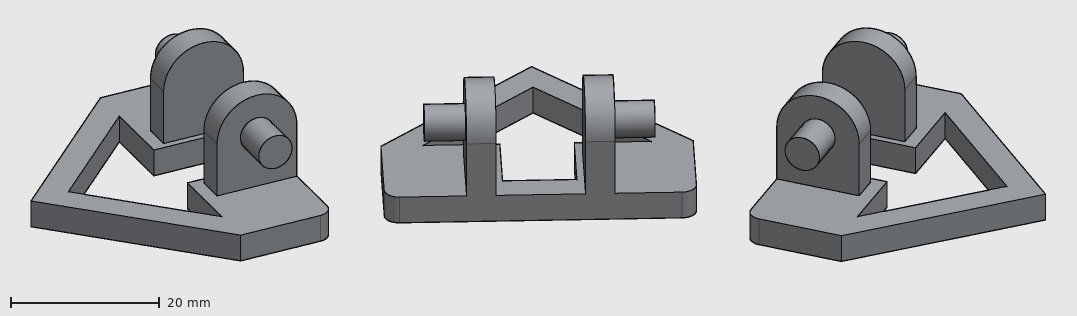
import cadquery as cq
import math

width = 42.0
thickness = 4.0
side_length = 14.0
corner_radius = 2.0
half_width = width / 2
tip_y = -half_width

slot_width = 10.0
window_half_width = half_width - thickness * math.sqrt(2)
slot_end_y = side_length - thickness

lug_gap = 12.0
lug_width = 12.0
lug_radius = lug_width / 2
axis_y = side_length - lug_radius
axis_z = 12.0
pin_diameter = 5.0
pin_length = 5.5


def make_plate():
    plate = (
        cq.Workplane("XY")
        .moveTo(0, tip_y)
        .lineTo(half_width, 0)
        .lineTo(half_width, side_length)
        .lineTo(-half_width, side_length)
        .lineTo(-half_width, 0)
        .close()
        .extrude(thickness)
    )
    return plate.edges("|Z and >Y").fillet(corner_radius)


def make_window():
    head = (
        cq.Workplane("XY")
        .moveTo(-window_half_width, 0)
        .lineTo(0, -window_half_width)
        .lineTo(window_half_width, 0)
        .close()
        .extrude(thickness)
    )
    slot = cq.Workplane("XY").box(
        slot_width, slot_end_y, thickness, centered=(True, False, False)
    )
    return head.union(slot)


def make_lug_with_pin():
    """Right-hand lug, standing on the plate, with its pin pointing outward along +X."""
    inner_face = cq.Workplane("YZ", origin=(lug_gap / 2, axis_y, 0))
    lug = (
        inner_face
        .moveTo(-lug_radius, 0)
        .lineTo(-lug_radius, axis_z)
        .threePointArc((0, axis_z + lug_radius), (lug_radius, axis_z))
        .lineTo(lug_radius, 0)
        .close()
        .extrude(thickness)
    )
    pin = inner_face.center(0, axis_z).circle(pin_diameter / 2).extrude(thickness + pin_length)
    return lug.union(pin)


right_lug = make_lug_with_pin()
left_lug = right_lug.mirror("YZ")
result = make_plate().cut(make_window()).union(right_lug).union(left_lug)